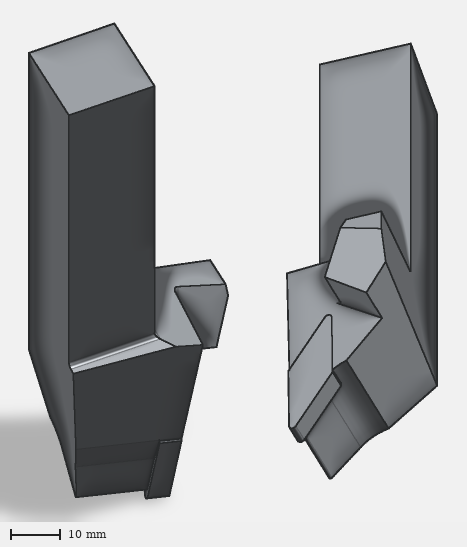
import cadquery as cq
import math


SHANK_SIDE = 19.0
TOOL_LENGTH = 114.3
SHANK_BOTTOM = 34.3
SHANK_FILLET = 1.1

HEAD_DEPTH = 40.2
HEAD_WIDTH = 34.3
SHOULDER_Z = 41.3
REAR_SHOULDER_ANGLE = 15.0
SIDE_SHOULDER_ANGLE = 12.0
SIDE_LEAN = 0.2
HEEL_TOP_Z = 30.2
HEEL_ANGLE = 65.0
HEEL_TWIST = 21.0

NOSE_RADIUS = 0.8
RAKE_TILT = 12.0
RAKE_TURN = 5.0
NOSE_CENTRE = (24.5, 19.4, NOSE_RADIUS * math.cos(math.radians(RAKE_TILT)))

BOTTOM_SLOPE = 0.96
STEP_START = (-12.6, 12.2)
STEP_END = (-6.7, 8.5)
STEP_RADIUS = 10.3
HOLDER_TIP = (-0.1, 0.3)
HOLDER_TIP_RADIUS = 0.3
SIDE_STEP_LOW = (-0.7, 9.5)
SIDE_STEP_HIGH = (-0.5, 14.7)
SIDE_FLANK_ANGLE = 3.5

POCKET_CORNER = (-12.8, 26.7)
POCKET_WALL_ANGLE = 29.0
POCKET_UNDERSIDE_SLOPE = 0.8
POCKET_FILLET = 1.1

INSERT_CIRCLE = 9.5
INSERT_ANGLE = 35.0
INSERT_THICKNESS = 4.8
SIDE_EDGE_ANGLE = 4.0

REACH = 68.6


def leaning(angle):
    """Unit direction in the rake plane, leaning left from the up direction."""
    turn = math.radians(angle)
    return (-math.sin(turn), math.cos(turn))


def along(start, direction, distance):
    """Point at a distance from the start in the given direction."""
    return (start[0] + direction[0] * distance, start[1] + direction[1] * distance)


def rake_plane():
    """Plane whose normal points into the holder, away from the rake face."""
    tilt = math.radians(RAKE_TILT)
    turn = math.radians(RAKE_TURN)
    across = (math.cos(turn), -math.sin(turn), 0)
    inward = (
        -math.sin(turn) * math.cos(tilt),
        -math.cos(turn) * math.cos(tilt),
        math.sin(tilt),
    )
    return cq.Plane(origin=NOSE_CENTRE, xDir=across, normal=inward)


RAKE = rake_plane()


def nearest_to_rake_point(across, up, depth):
    """Selector for the edge nearest to a point given in the rake plane's own axes."""
    return cq.selectors.NearestToPointSelector(RAKE.toWorldCoords((across, up, depth)))


def bottom_height(across):
    """Height of the bottom face in the rake plane."""
    return STEP_START[1] - BOTTOM_SLOPE * (across - STEP_START[0])


def make_flank_prism():
    """Everything behind the rake plane and inside the bottom and side flanks."""
    far_left = (-REACH, bottom_height(-REACH))
    flank_top = along(SIDE_STEP_HIGH, leaning(SIDE_FLANK_ANGLE), REACH)
    return (
        cq.Workplane(RAKE)
        .moveTo(*far_left)
        .lineTo(*STEP_START)
        .radiusArc(STEP_END, STEP_RADIUS)
        .lineTo(*HOLDER_TIP)
        .lineTo(*SIDE_STEP_LOW)
        .lineTo(*SIDE_STEP_HIGH)
        .lineTo(*flank_top)
        .lineTo(-REACH, flank_top[1])
        .close()
        .extrude(REACH)
        .edges(nearest_to_rake_point(*HOLDER_TIP, REACH / 2))
        .fillet(HOLDER_TIP_RADIUS)
    )


def make_arm_prism():
    """The arm in front of the rake plane, bounded by the chip pocket."""
    corner_x, corner_y = POCKET_CORNER
    drop = corner_y - bottom_height(corner_x)
    reach_left = drop / (BOTTOM_SLOPE + POCKET_UNDERSIDE_SLOPE)
    toe_x = corner_x - reach_left
    wall_top = along(POCKET_CORNER, leaning(POCKET_WALL_ANGLE), REACH)
    return (
        cq.Workplane(RAKE)
        .polyline([
            (-REACH, bottom_height(-REACH)),
            (toe_x, bottom_height(toe_x)),
            POCKET_CORNER,
            wall_top,
            (-REACH, wall_top[1]),
        ])
        .close()
        .extrude(-REACH)
    )


def under_shoulder(section, angle):
    """Block below a shoulder that falls away from the shank, drawn in a vertical section."""
    fall = math.tan(math.radians(angle))
    return (
        cq.Workplane(section)
        .polyline([
            (-REACH, SHOULDER_Z + fall * (REACH + SHANK_SIDE)),
            (REACH, SHOULDER_Z - fall * (REACH - SHANK_SIDE)),
            (REACH, -REACH),
            (-REACH, -REACH),
        ])
        .close()
        .extrude(REACH, both=True)
    )


def make_head_block():
    """Head limits: front face, -X side, rear end, heel chamfer and both shoulders."""
    plan = (
        cq.Workplane("XY")
        .polyline([
            (0, 0),
            (HEAD_WIDTH, 0),
            (HEAD_WIDTH, HEAD_DEPTH),
            (-SIDE_LEAN, HEAD_DEPTH),
        ])
        .close()
        .extrude(REACH, both=True)
    )
    heel = cq.Plane(
        origin=(0, HEAD_DEPTH, HEEL_TOP_Z),
        normal=(math.tan(math.radians(HEEL_TWIST)), math.tan(math.radians(HEEL_ANGLE)), -1),
    )
    heel_cut = cq.Workplane(heel).rect(2 * REACH, 2 * REACH).extrude(REACH)
    return (
        plan.intersect(under_shoulder("YZ", REAR_SHOULDER_ANGLE))
        .intersect(under_shoulder("XZ", SIDE_SHOULDER_ANGLE))
        .cut(heel_cut)
    )


def make_insert():
    """Rhombic insert with rounded acute corners, its top flush with the rake plane."""
    half = math.radians(INSERT_ANGLE / 2)
    edge = INSERT_CIRCLE / math.sin(math.radians(INSERT_ANGLE))
    bisector = leaning(SIDE_EDGE_ANGLE + INSERT_ANGLE / 2)
    tip = along((0, 0), bisector, -NOSE_RADIUS / math.sin(half))
    far_tip = along(tip, bisector, 2 * edge * math.cos(half))
    side_corner = along(tip, leaning(SIDE_EDGE_ANGLE), edge)
    end_corner = along(tip, leaning(SIDE_EDGE_ANGLE + INSERT_ANGLE), edge)
    rhombus = (
        cq.Workplane(RAKE)
        .polyline([tip, side_corner, far_tip, end_corner])
        .close()
        .extrude(INSERT_THICKNESS)
    )
    for corner in (tip, far_tip):
        corner_edge = nearest_to_rake_point(*corner, INSERT_THICKNESS / 2)
        rhombus = rhombus.edges(corner_edge).fillet(NOSE_RADIUS)
    return rhombus


def make_shank():
    """Square bar whose -X side continues the slightly leaning side of the head."""
    rear_lean = SIDE_LEAN * SHANK_SIDE / HEAD_DEPTH
    return (
        cq.Workplane("XY", origin=(0, 0, SHANK_BOTTOM))
        .polyline([(0, 0), (SHANK_SIDE, 0), (SHANK_SIDE, SHANK_SIDE), (-rear_lean, SHANK_SIDE)])
        .close()
        .extrude(TOOL_LENGTH - SHANK_BOTTOM)
    )


def make_pocketed_prism():
    """Flank prism and arm joined, with the chip pocket wall rounded into the rake face."""
    wall_middle = along(POCKET_CORNER, leaning(POCKET_WALL_ANGLE), REACH / 2)
    return (
        make_flank_prism()
        .union(make_arm_prism())
        .edges(nearest_to_rake_point(*wall_middle, 0))
        .fillet(POCKET_FILLET)
    )


def make_holder(insert):
    """Head and shank in one piece, with rounded shoulders and a seat for the insert."""
    holder = make_head_block().intersect(make_pocketed_prism()).union(make_shank())
    half_side = SHANK_SIDE / 2
    shoulder_middles = [(half_side, SHANK_SIDE, SHOULDER_Z), (SHANK_SIDE, half_side, SHOULDER_Z)]
    for middle in shoulder_middles:
        holder = holder.edges(cq.selectors.NearestToPointSelector(middle)).fillet(SHANK_FILLET)
    return holder.cut(insert)


insert = make_insert()
holder = make_holder(insert)

result = cq.Compound.makeCompound([holder.solids().val(), insert.solids().val()])